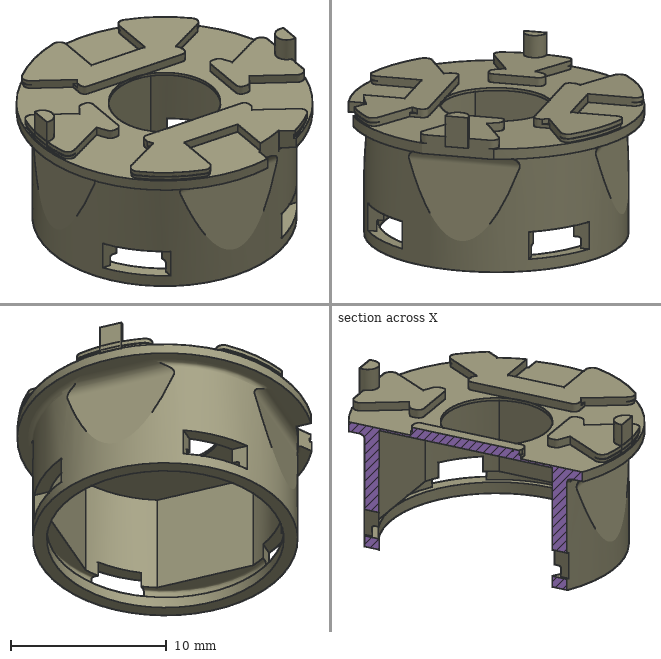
import cadquery as cq
import math

window_bottom = 0.8
groove_top = 1.55
window_top = 2.62
flange_bottom = 7.9
flange_top = 8.6
pad_split = 8.85
pad_top = 9.17
pin_top = 10.65
top_plate = 0.19
cavity_top = flange_top - top_plate

flange_radius = 9.5
flange_flat_y = 9.2
body_radius = 8.49
neck_fillet = 0.3
bore_radius = 3.59
cavity_radius = 7.6
cavity_flat = 6.84
groove_radius = 8.0
groove_fillet = 0.15
window_start = 4.22

lean_start_z = 2.01
lean_angle = math.radians(9.6)
lean_fillet = 0.82

lower_pad_radius = 9.35
upper_pad_radius = 9.42
pad_inner_corner = 0.38
pad_outer_corner = 0.5
arm_slope = math.tan(math.radians(60))
side_pad_inner = 3.51
side_pad_half_length = 3.97
side_pad_tip = 4.15
side_pad_neck = (4.54, 3.75)
pocket_start = 5.53
pocket_half_width = 2.03
pocket_corner_clearance = 0.38
end_pad_inner = 4.48
end_pad_half_length = 1.86
end_pad_tip = 5.3
end_pad_neck = (5.8, 0.99)

notch_bottom = 6.84
notch_low_y = 1.92
notch_high_corner = (7.63, 3.85)
notch_end_x = 11.4

pin_radius = 0.75
pin_center_y = 9.27
front_pin_face_y = 9.4
back_pin_face_y = flange_radius


def disc(radius, bottom, top):
    return cq.Workplane("XY").workplane(offset=bottom).circle(radius).extrude(top - bottom)


def prism(points, bottom, top):
    return cq.Workplane("XY").workplane(offset=bottom).polyline(points).close().extrude(top - bottom)


def block(x_start, x_end, y_start, y_end, bottom, top):
    corners = [(x_start, y_start), (x_end, y_start), (x_end, y_end), (x_start, y_end)]
    return prism(corners, bottom, top)


def turned(solid, angle):
    return solid.rotate((0, 0, 0), (0, 0, 1), angle)


def make_body():
    """Cylinder that blends into the flange through a concave fillet, turned in one piece."""
    fillet_end = body_radius + neck_fillet
    fillet_middle = neck_fillet * (1 - math.sqrt(0.5))
    return (
        cq.Workplane("XZ")
        .lineTo(body_radius, 0)
        .lineTo(body_radius, flange_bottom - neck_fillet)
        .threePointArc(
            (body_radius + fillet_middle, flange_bottom - fillet_middle),
            (fillet_end, flange_bottom),
        )
        .lineTo(flange_radius, flange_bottom)
        .lineTo(flange_radius, flange_top)
        .lineTo(0, flange_top)
        .close()
        .revolve(360, (0, 0, 0), (0, 1, 0))
    )


def make_leaning_flat():
    """Cutter for the +X side: a flat leaning inward, then curving out under the flange."""
    center_z = flange_bottom - lean_fillet
    tangent_z = center_z - lean_fillet * math.sin(lean_angle)
    tangent_x = body_radius - (tangent_z - lean_start_z) * math.tan(lean_angle)
    center_x = tangent_x + lean_fillet * math.cos(lean_angle)
    middle_angle = (math.pi / 2 - lean_angle) / 2
    arc_middle = (
        center_x - lean_fillet * math.cos(middle_angle),
        center_z + lean_fillet * math.sin(middle_angle),
    )
    return (
        cq.Workplane("XZ")
        .moveTo(body_radius, lean_start_z)
        .lineTo(tangent_x, tangent_z)
        .threePointArc(arc_middle, (center_x, flange_bottom))
        .lineTo(flange_radius, flange_bottom)
        .lineTo(flange_radius, lean_start_z)
        .close()
        .extrude(flange_radius, both=True)
    )


def make_inner_space():
    """Bore and cavity: flat-sided above, with a wider snap groove level with the windows."""
    square = block(-cavity_flat, cavity_flat, -cavity_flat, cavity_flat, groove_top, cavity_top)
    upper = disc(cavity_radius, groove_top, cavity_top).intersect(square)
    groove = disc(groove_radius, window_bottom, groove_top)
    groove = groove.faces(">Z").edges().fillet(groove_fillet)
    mouth = disc(cavity_radius, 0, window_bottom)
    bore = disc(bore_radius, 0, flange_top)
    return upper.union(groove).union(mouth).union(bore)


def make_window():
    return block(
        window_start, flange_radius, window_start, flange_radius, window_bottom, window_top
    )


def mirrored(half):
    return half + [(out, -side) for out, side in reversed(half)]


def round_corners(pad, radius, nearest, farthest):
    """Round the upright edges of a +X pad that lie between two distances outward."""
    zone = cq.selectors.BoxSelector(
        (nearest, -flange_radius, flange_top), (farthest, flange_radius, pad_top)
    )
    return pad.edges("|Z").edges(zone).fillet(radius)


def make_side_pad(neck_points, radius, bottom, top):
    """Pad pointing along +X: a bar beside the bore with two flared arms around a pocket."""
    neck_out, neck_side = neck_points[-1]
    arm_end = (flange_radius, neck_side + (flange_radius - neck_out) * arm_slope)
    half = [(side_pad_inner, side_pad_half_length)] + neck_points + [arm_end]
    pocket = block(
        pocket_start, flange_radius, -pocket_half_width, pocket_half_width, bottom, top
    )
    pad = prism(mirrored(half), bottom, top).intersect(disc(radius, bottom, top)).cut(pocket)
    pad = round_corners(pad, pad_inner_corner, 0, (side_pad_inner + side_pad_tip) / 2)
    return round_corners(pad, pad_outer_corner, pocket_start + pocket_corner_clearance, flange_radius)


def make_end_pad(boundary, bottom, top):
    """Bow-tie pad pointing along +X, ended outward by the given boundary solid."""
    neck_out, neck_side = end_pad_neck
    arm_end = (flange_radius, neck_side + (flange_radius - neck_out) / arm_slope)
    half = [
        (end_pad_inner, end_pad_half_length),
        (end_pad_tip, end_pad_half_length),
        end_pad_neck,
        arm_end,
    ]
    pad = prism(mirrored(half), bottom, top).intersect(boundary)
    pad = round_corners(pad, pad_inner_corner, 0, (end_pad_tip + neck_out) / 2)
    return round_corners(pad, pad_outer_corner, (neck_out + flange_radius) / 2, flange_radius)


def make_pads():
    """All four pads; the lower layer sits slightly inside the upper one at the rim."""
    neck_out, neck_side = side_pad_neck
    filled_neck = neck_out + (side_pad_half_length - neck_side) / arm_slope
    layers = [
        (lower_pad_radius, flange_top, pad_split, [(filled_neck, side_pad_half_length)]),
        (upper_pad_radius, pad_split, pad_top, [(side_pad_tip, side_pad_half_length), side_pad_neck]),
    ]
    pads = []
    for radius, bottom, top, neck_points in layers:
        side_pad = make_side_pad(neck_points, radius, bottom, top)
        rim = disc(radius, bottom, top)
        flat = block(0, flange_flat_y, -flange_radius, flange_radius, bottom, top)
        pads += [
            side_pad,
            turned(side_pad, 180),
            turned(make_end_pad(rim, bottom, top), -90),
            turned(make_end_pad(flat, bottom, top), 90),
        ]
    return pads


def make_notch():
    """Notch beside the +X pocket, from the body radius outward through flange and pad."""
    corner_x, corner_y = notch_high_corner
    high_end_y = corner_y + (notch_end_x - corner_x) * arm_slope
    sector = prism(
        [
            (0, notch_low_y),
            (notch_end_x, notch_low_y),
            (notch_end_x, high_end_y),
            (corner_x, corner_y),
            (0, corner_y),
        ],
        notch_bottom,
        pad_top,
    )
    return sector.cut(disc(body_radius, notch_bottom, pad_top))


def make_pin(face_y):
    """Half-round pin at the +Y rim, rounded toward the bore and flat at face_y."""
    round_pin = disc(pin_radius, flange_top, pin_top).translate((0, pin_center_y, 0))
    inner_half = block(-pin_radius, pin_radius, 0, pin_center_y, flange_top, pin_top)
    outer_part = block(-pin_radius, pin_radius, pin_center_y, face_y, flange_top, pin_top)
    return round_pin.intersect(inner_half).union(outer_part)


result = make_body()
for quarter in range(4):
    result = result.cut(turned(make_leaning_flat(), 90 * quarter))
result = result.cut(make_inner_space())
for quarter in range(4):
    result = result.cut(turned(make_window(), 90 * quarter))
result = result.cut(
    block(-flange_radius, flange_radius, flange_flat_y, flange_radius, 0, flange_top)
)
for pad in make_pads():
    result = result.union(pad)
result = result.cut(make_notch())
result = result.union(make_pin(back_pin_face_y))
result = result.union(turned(make_pin(front_pin_face_y), 180))